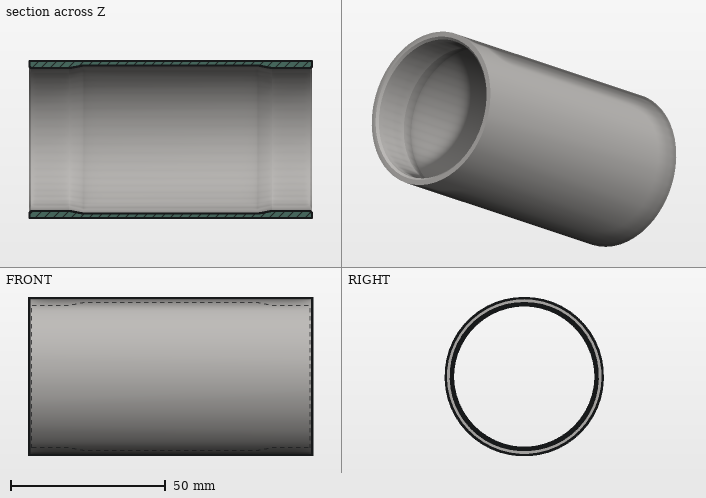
import cadquery as cq

length = 91.5
outer_diameter = 50.8
relief_wall = 1.5
seat_diameter = 46.0
seat_end = 13.0
taper_length = 4.65
mouth_chamfer = 0.75

half_length = length / 2
outer_radius = outer_diameter / 2
seat_radius = seat_diameter / 2
relief_radius = outer_radius - relief_wall
mouth_radius = seat_radius + mouth_chamfer


def bore_profile():
    """Bore from one tube end to the relief, as (distance from the end, radius)."""
    return [
        (0, mouth_radius),
        (mouth_chamfer, seat_radius),
        (seat_end, seat_radius),
        (seat_end + taper_length, relief_radius),
    ]


def tube():
    """Revolve the wall section, with the bore mirrored about mid-length."""
    left_bore = [(depth - half_length, radius) for depth, radius in bore_profile()]
    right_bore = [(-x, radius) for x, radius in reversed(left_bore)]
    outside = [(half_length, outer_radius), (-half_length, outer_radius)]
    section = cq.Workplane("XZ").polyline(left_bore + right_bore + outside).close()
    return section.revolve(360, (0, 0, 0), (1, 0, 0))


result = tube()